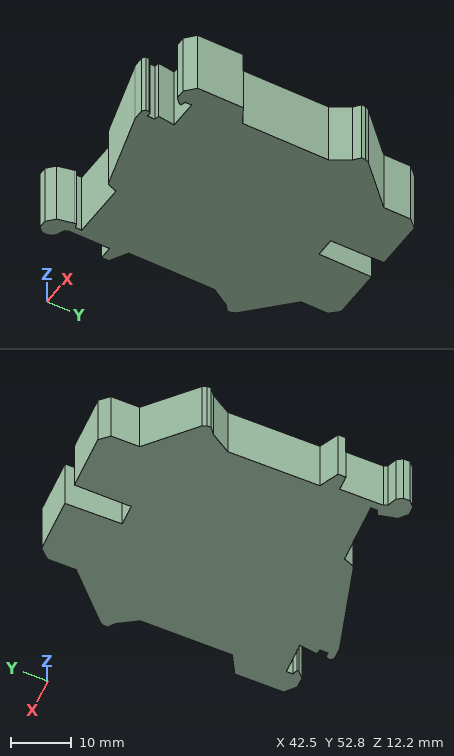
import cadquery as cq

width = 42.5
height = 52.8
thickness = 12.2
half_width = width / 2

head_half_width = 13.1
head_chamfer_x = 1.55
head_chamfer_y = 1.7
head_base_y = 45.95
slot_mouth_half_width = 1.95
slot_floor_half_width = 1.85
slot_floor_y = 42.55

side_half_width = 18.0
side_top_y = 32.25
side_bottom_y = 15.75
shoulder_y = 13.9

recess_y = 6.3
recess_half_width = 17.35
lip_half_width = 16.5
lip_top_y = 5.1
lip_tip_y = 4.75
lip_base_half_width = 16.6
lip_base_y = 4.4

hook_bottom_y = 3.4
hook_outer_y = 5.05

ledge_y = 12.45
leg_outer_x = -18.7

notch_x = 11.35
notch_top_y = 2.85
notch_bottom_y = 1.5
latch_tip_x = 12.4


def upper_half():
    """Right half of the upper outline, from the slot floor down to the shoulder."""
    return [
        (slot_floor_half_width, slot_floor_y),
        (slot_mouth_half_width, height),
        (head_half_width - head_chamfer_x, height),
        (head_half_width, height - head_chamfer_y),
        (head_half_width, head_base_y),
        (20.9, 38.2),
        (half_width, 37.4),
        (half_width, 36.7),
        (20.05, 35.7),
        (side_half_width, side_top_y),
        (side_half_width, side_bottom_y),
        (half_width, shoulder_y),
    ]


def right_hook():
    """Fixed hook, from its outer side round to the recess ceiling."""
    return [
        (half_width, hook_outer_y),
        (19.45, hook_bottom_y),
        (17.6, hook_bottom_y),
        (lip_base_half_width, lip_base_y),
        (lip_half_width, lip_tip_y),
        (recess_half_width, lip_top_y),
        (recess_half_width, recess_y),
    ]


def central_foot():
    """Sloping foot with the latch notch, from right to left."""
    return [
        (11.85, recess_y),
        (12.25, 3.05),
        (notch_x, notch_top_y),
        (notch_x, notch_bottom_y),
        (12.1, notch_bottom_y),
        (latch_tip_x, 1.1),
        (latch_tip_x, 0.5),
        (11.9, 0),
        (9.8, 0),
        (-5.5, 4.2),
        (-5.8, 4.4),
        (-6.55, recess_y),
    ]


def left_leg():
    """Spring leg with a bulbous end, from the recess up to the ledge."""
    return [
        (-recess_half_width, recess_y),
        (-recess_half_width, lip_top_y),
        (-lip_half_width, lip_tip_y),
        (-lip_base_half_width, lip_base_y),
        (-17.25, 1.35),
        (-18.75, 0),
        (-20.3, 0),
        (-half_width, 0.95),
        (-half_width, 2.15),
        (-20.6, 3.2),
        (-19.0, 3.95),
        (leg_outer_x, 4.65),
        (leg_outer_x, ledge_y),
        (-half_width, ledge_y),
    ]


right_upper = upper_half()
left_upper = [(-x, y) for x, y in reversed(right_upper)]
outline = right_upper + right_hook() + central_foot() + left_leg() + left_upper

result = cq.Workplane("XY").polyline(outline).close().extrude(thickness)